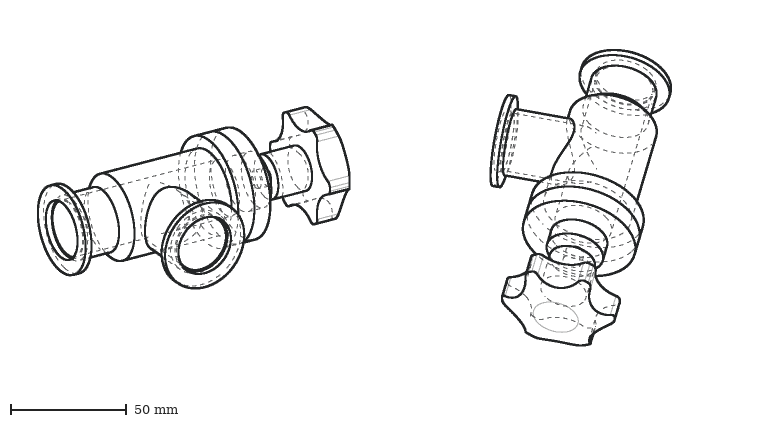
import cadquery as cq


OVERALL_LENGTH = 135.0
OUTER_RADIUS = 25.0
OUTLET_REACH = 45.1
OUTLET_Y = 44.8

PIPE_RADIUS = 14.6
BORE_RADIUS = 12.5
PORT_FLANGE_RADIUS = 20.0
PORT_RIM = 3.0
PORT_TAPER = 1.4
RECESS_RADIUS = 13.2
RECESS_DEPTH = 3.0

BODY_RADIUS = 19.5
REDUCER_START = 20.1
REDUCER_LENGTH = BODY_RADIUS - PIPE_RADIUS
FLANGE_THICKNESS = 8.1
FLANGE_START = 74.0
JOINT_Y = FLANGE_START + FLANGE_THICKNESS

COLLAR_RADIUS = 12.5
COLLAR_LENGTH = 8.0
STEM_RADIUS = 4.0
COLLAR_START = JOINT_Y + FLANGE_THICKNESS
STEM_START = COLLAR_START + COLLAR_LENGTH

WHEEL_THICKNESS = 14.8
HUB_RADIUS = 10.1
HUB_LENGTH = 17.0
LOBE_COUNT = 6
SCOOP_RADIUS = 13.8
SCOOP_DEPTH = 6.5
LOBE_FILLET = 2.5
CROWN_FLAT_RADIUS = 10.0
CROWN_ARC_RADIUS = OUTER_RADIUS
WHEEL_START = OVERALL_LENGTH - WHEEL_THICKNESS
HUB_START = WHEEL_START - HUB_LENGTH


def disc(start, length, radius):
    """Cylinder on the main axis."""
    return cq.Workplane("ZX", origin=(0, start, 0)).circle(radius).extrude(length)


def on_outlet_axis(shape):
    """Move a shape from the main axis to the outlet axis, its Y = 0 face becoming the outlet face."""
    return shape.rotate((0, 0, 0), (0, 0, 1), 90).translate((OUTLET_REACH, OUTLET_Y, 0))


def port_shell(length):
    """Solid pipe with a tapered clamp flange at Y = 0."""
    outline = [
        (0, 0),
        (PORT_FLANGE_RADIUS, 0),
        (PORT_FLANGE_RADIUS, PORT_RIM),
        (PIPE_RADIUS, PORT_RIM + PORT_TAPER),
        (PIPE_RADIUS, length),
        (0, length),
    ]
    return cq.Workplane("XY").polyline(outline).close().revolve(360, (0, 0), (0, 1))


def port_bore(length):
    """Bore with the centring-ring recess at Y = 0."""
    return disc(0, length, BORE_RADIUS).union(disc(0, RECESS_DEPTH, RECESS_RADIUS))


def reducer():
    """Cone from the inlet pipe to the main body."""
    return (
        cq.Workplane("ZX", origin=(0, REDUCER_START, 0))
        .circle(PIPE_RADIUS)
        .workplane(offset=REDUCER_LENGTH)
        .circle(BODY_RADIUS)
        .loft()
    )


def make_housing():
    body_start = REDUCER_START + REDUCER_LENGTH
    shell = (
        port_shell(REDUCER_START)
        .union(reducer())
        .union(disc(body_start, FLANGE_START - body_start, BODY_RADIUS))
        .union(disc(FLANGE_START, FLANGE_THICKNESS, OUTER_RADIUS))
        .union(on_outlet_axis(port_shell(OUTLET_REACH)))
    )
    return shell.cut(port_bore(JOINT_Y)).cut(on_outlet_axis(port_bore(OUTLET_REACH)))


def make_bonnet():
    """Flange, collar and stem; the stem ends on the handwheel hub."""
    return (
        disc(JOINT_Y, FLANGE_THICKNESS, OUTER_RADIUS)
        .union(disc(COLLAR_START, COLLAR_LENGTH, COLLAR_RADIUS))
        .union(disc(STEM_START, HUB_START - STEM_START, STEM_RADIUS))
    )


def crown():
    """Round blank whose top is flat in the middle and curves down to the rim."""
    run = OUTER_RADIUS - CROWN_FLAT_RADIUS
    rim_drop = CROWN_ARC_RADIUS - (CROWN_ARC_RADIUS**2 - run**2) ** 0.5
    return (
        cq.Workplane("XY")
        .moveTo(0, WHEEL_START)
        .lineTo(0, OVERALL_LENGTH)
        .lineTo(CROWN_FLAT_RADIUS, OVERALL_LENGTH)
        .tangentArcPoint((OUTER_RADIUS, OVERALL_LENGTH - rim_drop), relative=False)
        .lineTo(OUTER_RADIUS, WHEEL_START)
        .close()
        .revolve(360, (0, 0), (0, 1))
    )


def make_handwheel():
    """Six-lobed domed wheel on a hub; two of the lobes lie on the X axis."""
    scoop_centre = OUTER_RADIUS - SCOOP_DEPTH + SCOOP_RADIUS
    scoops = (
        cq.Workplane("ZX", origin=(0, WHEEL_START, 0))
        .polarArray(scoop_centre, 0, 360, LOBE_COUNT)
        .circle(SCOOP_RADIUS)
        .extrude(WHEEL_THICKNESS)
    )
    lobes = disc(WHEEL_START, WHEEL_THICKNESS, OUTER_RADIUS).cut(scoops).edges("|Y").fillet(LOBE_FILLET)
    return lobes.intersect(crown()).union(disc(HUB_START, HUB_LENGTH, HUB_RADIUS))


housing = make_housing()
bonnet = make_bonnet()
handwheel = make_handwheel()

bodies = [housing, bonnet, handwheel]
result = cq.Compound.makeCompound([body.solids().val() for body in bodies])